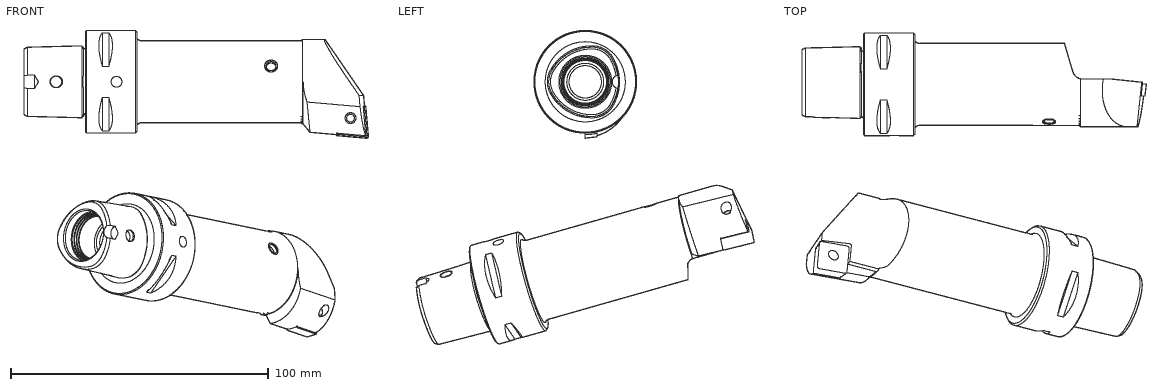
import cadquery as cq
import math


shank_length = 24.0
lobe_reach = 14.75
flat_reach = 13.35
lobe_centre_distance = 5.4
lobe_count = 3
shank_large_end_x = -1.5
taper_per_side = 1 / 40
shank_end_chamfer_length = 1.3
shank_end_chamfer_depth = 0.7
shank_root_chamfer = 0.6
neck_radius = 12.85
neck_flare_length = 0.9
neck_flare_radius = 15.6

mouth_radius = 10.3
bore_radius = 9.8
bore_depth = 4.0
step_radii = (9.3, 8.9, 8.6)
step_length = 1.0
shoulder_radius = 8.3
shoulder_depth = 16.0
drill_entry_radius = 7.2
drill_radius = 6.3
drill_depth = 30.0
cone_step_radius = 4.25
cone_step_depth = 32.0
cone_tip_depth = 34.5
drill_point_half_angle = 59

end_notch_diameter = 5.2
end_notch_length = 4.1
end_notch_offset = 13.1
shank_hole_x = -11.5
shank_hole_diameter = 4.4
shank_hole_mouth_diameter = 5.4
shank_hole_depth = 2.2
data_hole_x = 12.0
data_hole_diameter = 4.2
data_hole_depth = 4.0

flange_radius = 20.0
flange_length = 20.0
flange_front_chamfer = 0.4
flange_back_chamfer = 0.7
grip_slot_x = 7.75
grip_slot_floor_width = 2.5
grip_slot_mouth_width = 5.3
grip_slot_floor_distance = 17.75
grip_slot_count = 4

bar_radius = 16.0
bar_root_flare_length = 1.7
bar_root_flare_height = 0.8
head_fillet_length = 0.8

head_radius = 16.5
head_start_x = 84.3
keel_radius = 17.5
keel_reference_x = 106.5
keel_reference_z = -3.8
keel_cone_offset = 0.3
keel_cone_slope = 1.2
back_face_y = 2.1
back_fillet_radius = 4.0
runout_top_x = 78.1
runout_root_x = 82.2
relief_break_x = 96.5
relief_tilt = 6.0
nose_face_x = 109.5
nose_face_draft = 6.0
diagonal_top_x = 92.9
diagonal_angle = 34.7
diagonal_draft_slope = 0.1

tip_x = 110.0
tip_z = -22.0
lead_angle = 5.0
rake_y = 0.15
insert_corner_angle = 80.0
insert_edge = 12.9
insert_thickness = 4.76
insert_relief_angle = 7.0
insert_nose_radius = 0.8
screw_x = 103.0
screw_z = -14.1
screw_diameter = 4.2
screw_length = 12.0
screw_end_chamfer = 0.6

plug_x = 72.1
plug_angle = 23.0
plug_diameter = 5.0
plug_length = 5.0
plug_recess = 0.4
plug_socket_diameter = 3.8
plug_socket_depth = 1.4

oversize = 60.0


def polar(radius, angle):
    return (radius * math.cos(math.radians(angle)), radius * math.sin(math.radians(angle)))


def revolve_about_x(profile):
    return profile.close().revolve(360, (0, 0, 0), (1, 0, 0))


def drill(origin, direction, diameter, depth):
    """Round drill with a conical point; depth is counted to the start of the point."""
    radius = diameter / 2
    point_length = radius / math.tan(math.radians(drill_point_half_angle))
    barrel = cq.Solid.makeCylinder(radius, depth, cq.Vector(*origin), cq.Vector(*direction))
    point_base = cq.Vector(*origin) + cq.Vector(*direction).normalized() * depth
    point = cq.Solid.makeCone(radius, 0, point_length, point_base, cq.Vector(*direction))
    return cq.Workplane(barrel.fuse(point))


lobe_radius = lobe_reach - lobe_centre_distance
lobe_step = 360 / lobe_count
flat_gap = lobe_reach - flat_reach
flat_centre_distance = (
    (2 * flat_gap * lobe_centre_distance - flat_gap**2) / (lobe_centre_distance - 2 * flat_gap)
)
blend_angle = math.degrees(
    math.atan2(
        lobe_centre_distance * math.sin(math.radians(lobe_step / 2)),
        lobe_centre_distance * math.cos(math.radians(lobe_step / 2)) + flat_centre_distance,
    )
)


def lobed_wire(x, inset):
    """Closed outline of tangent lobe and flat arcs, moved inwards by the inset."""
    radius = lobe_radius - inset
    lobe_half = lobe_step / 2 - blend_angle
    path = None
    for i in range(lobe_count):
        lobe_angle = i * lobe_step
        cy, cz = polar(lobe_centre_distance, lobe_angle)
        start, crown, end = [
            (cy + dy, cz + dz)
            for dy, dz in (polar(radius, lobe_angle + turn) for turn in (-lobe_half, 0, lobe_half))
        ]
        flat_middle = polar(flat_reach - inset, lobe_angle + lobe_step / 2)
        ny, nz = polar(lobe_centre_distance, lobe_angle + lobe_step)
        dy, dz = polar(radius, lobe_angle + lobe_step - lobe_half)
        if path is None:
            path = cq.Workplane("YZ", origin=(x, 0, 0)).moveTo(*start)
        path = path.threePointArc(crown, end).threePointArc(flat_middle, (ny + dy, nz + dz))
    return path.close().val()


def build_shank():
    chamfer_x = -shank_length + shank_end_chamfer_length
    small_inset = (shank_large_end_x - chamfer_x) * taper_per_side
    sections = [
        (-shank_length, small_inset + shank_end_chamfer_depth),
        (chamfer_x, small_inset),
        (shank_large_end_x, 0),
        (shank_large_end_x + shank_root_chamfer, shank_root_chamfer),
    ]
    shank = None
    for near, far in zip(sections, sections[1:]):
        piece = cq.Workplane(cq.Solid.makeLoft([lobed_wire(*near), lobed_wire(*far)], True))
        shank = piece if shank is None else shank.union(piece)
    return shank


def build_bore():
    profile = (
        cq.Workplane("XZ")
        .moveTo(-shank_length, 0)
        .lineTo(-shank_length, mouth_radius)
        .lineTo(-shank_length + mouth_radius - bore_radius, bore_radius)
        .lineTo(-shank_length + bore_depth, bore_radius)
    )
    step_x = -shank_length + bore_depth
    for radius in step_radii:
        profile = profile.lineTo(step_x, radius).lineTo(step_x + step_length, radius)
        step_x += step_length
    shoulder_x = -shank_length + shoulder_depth
    return revolve_about_x(
        profile.lineTo(step_x, shoulder_radius)
        .lineTo(shoulder_x, shoulder_radius)
        .lineTo(shoulder_x, drill_entry_radius)
        .lineTo(shoulder_x + drill_entry_radius - drill_radius, drill_radius)
        .lineTo(-shank_length + drill_depth, drill_radius)
        .lineTo(-shank_length + cone_step_depth, cone_step_radius)
        .lineTo(-shank_length + cone_tip_depth, 0)
    )


def tangent_flare_middle(length, height):
    """Middle of an arc that leaves a level line at (0, 0) and climbs to (length, height)."""
    radius = (length**2 + height**2) / (2 * height)
    half_turn = math.asin(length / radius) / 2
    return (radius * math.sin(half_turn), radius * (1 - math.cos(half_turn)))


def build_flange_and_bar():
    root_dx, root_dr = tangent_flare_middle(bar_root_flare_length, bar_root_flare_height)
    head_step = head_radius - bar_radius
    head_dx, head_dr = tangent_flare_middle(head_fillet_length, head_step)
    neck_dx, neck_dr = tangent_flare_middle(neck_flare_length, neck_flare_radius - neck_radius)
    flare_end_x = flange_length + bar_root_flare_length
    fillet_start_x = head_start_x - head_fillet_length
    return revolve_about_x(
        cq.Workplane("XZ")
        .moveTo(shank_large_end_x, 0)
        .lineTo(shank_large_end_x, neck_radius)
        .lineTo(-neck_flare_length, neck_radius)
        .threePointArc((-neck_flare_length + neck_dx, neck_radius + neck_dr), (0, neck_flare_radius))
        .lineTo(0, flange_radius - flange_front_chamfer)
        .lineTo(flange_front_chamfer, flange_radius)
        .lineTo(flange_length - flange_back_chamfer, flange_radius)
        .lineTo(flange_length, flange_radius - flange_back_chamfer)
        .lineTo(flange_length, bar_radius + bar_root_flare_height)
        .threePointArc((flare_end_x - root_dx, bar_radius + root_dr), (flare_end_x, bar_radius))
        .lineTo(fillet_start_x, bar_radius)
        .threePointArc((fillet_start_x + head_dx, bar_radius + head_dr), (head_start_x, head_radius))
        .lineTo(head_start_x, 0)
    )


def build_grip_slots():
    slot = (
        cq.Workplane("XZ", origin=(grip_slot_x, 0, 0))
        .moveTo(-grip_slot_floor_width / 2, grip_slot_floor_distance)
        .lineTo(-grip_slot_mouth_width / 2, flange_radius)
        .lineTo(grip_slot_mouth_width / 2, flange_radius)
        .lineTo(grip_slot_floor_width / 2, grip_slot_floor_distance)
        .close()
        .extrude(flange_radius, both=True)
    )
    step = 360 / grip_slot_count
    return [slot.rotate((0, 0, 0), (1, 0, 0), (i + 0.5) * step) for i in range(grip_slot_count)]


def half_space(point, outward):
    """Large block on the outer side of a plane."""
    return (
        cq.Workplane(cq.Plane(origin=point, normal=outward))
        .rect(4 * oversize, 4 * oversize)
        .extrude(oversize)
    )


def build_head():
    lead_slope = math.tan(math.radians(lead_angle))
    head_length = tip_x - head_start_x
    upper = (
        cq.Workplane("YZ", origin=(head_start_x, 0, 0))
        .circle(head_radius)
        .extrude(head_length)
    )
    side_block = cq.Workplane("XY").box(
        head_length, head_radius + rake_y, oversize, centered=False
    ).translate((head_start_x, -head_radius, -oversize))
    keel_axis = cq.Plane(
        origin=(keel_reference_x, 0, keel_reference_z),
        normal=(1, 0, -lead_slope),
    )
    keel = cq.Workplane(keel_axis).circle(keel_radius).extrude(oversize, both=True)
    cone_start_x = head_start_x + keel_cone_offset
    keel_cone = revolve_about_x(
        cq.Workplane("XZ")
        .moveTo(head_start_x, 0)
        .lineTo(head_start_x, head_radius)
        .lineTo(cone_start_x, head_radius)
        .lineTo(tip_x, head_radius + keel_cone_slope * (tip_x - cone_start_x))
        .lineTo(tip_x, 0)
    )
    head = upper.union(side_block.intersect(keel).intersect(keel_cone))
    nose_face = half_space(
        (nose_face_x, 0, tip_z),
        (1, -math.tan(math.radians(nose_face_draft)), lead_slope),
    )
    diagonal_face = half_space(
        (diagonal_top_x, 0, head_radius),
        (1, -diagonal_draft_slope, math.tan(math.radians(diagonal_angle))),
    )
    return head.cut(nose_face).cut(diagonal_face)


def build_back_relief():
    """Cutter for the +Y side of the head: run-out slope, level face and tilted end face."""
    relief_drop = (tip_x - relief_break_x) * math.tan(math.radians(relief_tilt))
    relief = (
        cq.Workplane("XY")
        .moveTo(runout_top_x, bar_radius)
        .lineTo(runout_root_x, back_face_y)
        .lineTo(relief_break_x, back_face_y)
        .lineTo(tip_x, back_face_y - relief_drop)
        .lineTo(tip_x, oversize)
        .lineTo(runout_top_x, oversize)
        .close()
        .extrude(oversize, both=True)
    )
    root = cq.selectors.NearestToPointSelector((runout_root_x, back_face_y, 0))
    return relief.edges("|Z").edges(root).fillet(back_fillet_radius)


corner_overhang = insert_nose_radius * (
    math.sin(math.radians(45)) / math.sin(math.radians(insert_corner_angle / 2)) - 1
)
lead_cos, lead_sin = polar(1, lead_angle)
rake_plane = cq.Plane(
    origin=(tip_x + corner_overhang, rake_y, tip_z - corner_overhang),
    xDir=(-lead_cos, 0, lead_sin),
    normal=(0, 1, 0),
)


def rhombus():
    side_x, side_y = polar(insert_edge, insert_corner_angle)
    outline = cq.Sketch().polygon(
        [
            (0, 0),
            (insert_edge, 0),
            (insert_edge + side_x, side_y),
            (side_x, side_y),
            (0, 0),
        ]
    )
    return cq.Workplane(rake_plane).placeSketch(outline.vertices().fillet(insert_nose_radius))


def screw_cylinder(start_y, length):
    return (
        cq.Workplane("XZ", origin=(screw_x, start_y, screw_z))
        .circle(screw_diameter / 2)
        .extrude(length)
    )


insert_blank = rhombus().extrude(-insert_thickness, taper=insert_relief_angle)
pocket = insert_blank.union(rhombus().extrude(oversize))
screw_hole = screw_cylinder(rake_y, oversize)
insert = insert_blank.cut(screw_hole)
screw = screw_cylinder(rake_y, screw_length).faces("<Y").chamfer(screw_end_chamfer)

plug_out_y, plug_out_z = polar(1, 180 - plug_angle)
plug_inward = (0, -plug_out_y, -plug_out_z)


def plug_axis_point(radius):
    return (plug_x, radius * plug_out_y, radius * plug_out_z)


plug_hole = cq.Workplane(
    cq.Solid.makeCylinder(
        plug_diameter / 2,
        plug_recess + plug_length + plug_diameter,
        cq.Vector(*plug_axis_point(bar_radius + plug_diameter)),
        cq.Vector(*plug_inward),
    )
)
plug_top = plug_axis_point(bar_radius - plug_recess)
plug = cq.Workplane(
    cq.Solid.makeCylinder(plug_diameter / 2, plug_length, cq.Vector(*plug_top), cq.Vector(*plug_inward))
).cut(drill(plug_top, plug_inward, plug_socket_diameter, plug_socket_depth))

end_notch = drill((-shank_length, -end_notch_offset, 0), (1, 0, 0), end_notch_diameter, end_notch_length)
shank_hole = drill((shank_hole_x, -flat_reach, 0), (0, 1, 0), shank_hole_diameter, shank_hole_depth)
shank_hole_chamfer = cq.Workplane(
    cq.Solid.makeCone(
        shank_hole_mouth_diameter / 2,
        0,
        shank_hole_mouth_diameter / 2,
        cq.Vector(shank_hole_x, -flat_reach, 0),
        cq.Vector(0, 1, 0),
    )
)
data_hole = drill((data_hole_x, -flange_radius, 0), (0, 1, 0), data_hole_diameter, data_hole_depth)

holder = build_shank().union(build_flange_and_bar()).union(build_head()).cut(build_back_relief())
for slot in build_grip_slots():
    holder = holder.cut(slot)
holder = (
    holder.cut(build_bore())
    .cut(end_notch)
    .cut(shank_hole)
    .cut(shank_hole_chamfer)
    .cut(data_hole)
    .cut(plug_hole)
    .cut(pocket)
    .cut(screw_hole)
)

result = cq.Compound.makeCompound([holder.val(), insert.val(), screw.val(), plug.val()])